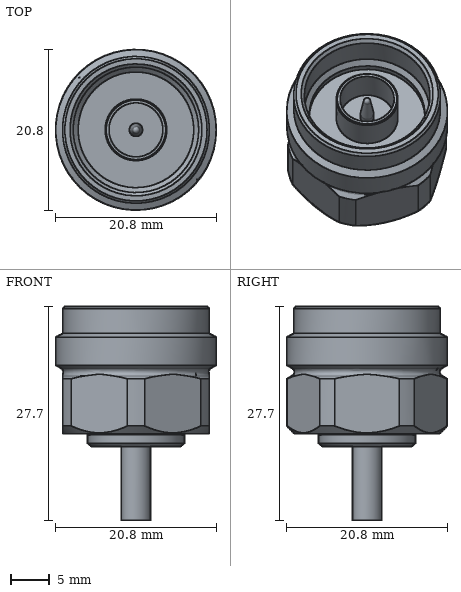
import cadquery as cq
import math


cable_radius = 1.9
collar_radius = 6.3
collar_bottom_z = 9.53
collar_top_z = 11.05
collar_chamfer_width = 0.55
collar_chamfer_height = 0.47
collar_neck_radius = 5.93

nut_bottom_z = 11.2
hex_across_flats = 19.0
hex_corner_radius = 10.4
hex_bottom_chamfer = 1.02

groove_floor_radius = 9.42
groove_arc_radius = 0.55
groove_center_z = 19.2
groove_wall_angle = math.radians(30)

flange_diameter = 20.8
flange_radius = flange_diameter / 2
flange_top_z = 23.7
sleeve_radius = hex_across_flats / 2
sleeve_base_z = 24.18
top_z = 27.7
sleeve_outer_chamfer = 0.3

bore_radius = 8.12
bore_entry_chamfer = 0.42
bore_bottom_z = 23.52
seat_radius = 7.48
floor_z = 22.05

post_radius = 4.0
post_bore_radius = 3.5
post_top_z = 26.48
post_chamfer = 0.15
pin_radius = 0.85
pin_tip_radius = 0.45
pin_taper_start_z = 23.07
pin_tip_center_z = 25.95


def revolve_profile(profile):
    """Turn a closed (radius, z) outline about the Z axis."""
    return profile.close().revolve(360, (0, 0, 0), (0, 1, 0))


def make_cable_and_collar():
    """Cable stub with the chamfered collar and the short neck below the nut."""
    profile = (
        cq.Workplane("XZ")
        .lineTo(cable_radius, 0)
        .lineTo(cable_radius, collar_bottom_z)
        .lineTo(collar_radius - collar_chamfer_width, collar_bottom_z)
        .lineTo(collar_radius, collar_bottom_z + collar_chamfer_height)
        .lineTo(collar_radius, collar_top_z)
        .lineTo(collar_neck_radius, collar_top_z)
        .lineTo(collar_neck_radius, nut_bottom_z)
        .lineTo(0, nut_bottom_z)
    )
    return revolve_profile(profile)


def make_nut():
    """Turned, solid nut body with its lower part trimmed to a hexagon."""
    slope = math.tan(groove_wall_angle)
    arc_end_radius = groove_floor_radius + groove_arc_radius * (1 - math.sin(groove_wall_angle))
    arc_half_height = groove_arc_radius * math.cos(groove_wall_angle)
    arc_bottom_z = groove_center_z - arc_half_height
    arc_top_z = groove_center_z + arc_half_height
    hex_top_z = arc_bottom_z - (hex_corner_radius - arc_end_radius) * slope
    flange_bottom_z = arc_top_z + (flange_radius - arc_end_radius) * slope

    profile = (
        cq.Workplane("XZ")
        .moveTo(0, nut_bottom_z)
        .lineTo(hex_corner_radius - hex_bottom_chamfer, nut_bottom_z)
        .lineTo(hex_corner_radius, nut_bottom_z + hex_bottom_chamfer)
        .lineTo(hex_corner_radius, hex_top_z)
        .lineTo(arc_end_radius, arc_bottom_z)
        .threePointArc((groove_floor_radius, groove_center_z), (arc_end_radius, arc_top_z))
        .lineTo(flange_radius, flange_bottom_z)
        .lineTo(flange_radius, flange_top_z)
        .lineTo(sleeve_radius, sleeve_base_z)
        .lineTo(sleeve_radius, top_z - sleeve_outer_chamfer)
        .lineTo(sleeve_radius - sleeve_outer_chamfer, top_z)
        .lineTo(0, top_z)
    )

    hex_across_corners = hex_across_flats / math.cos(math.pi / 6)
    hex_trim = (
        cq.Workplane("XY", origin=(0, 0, nut_bottom_z))
        .circle(hex_across_corners)
        .extrude(groove_center_z - nut_bottom_z)
        .cut(
            cq.Workplane("XY", origin=(0, 0, nut_bottom_z))
            .transformed(rotate=(0, 0, 30))
            .polygon(6, hex_across_corners)
            .extrude(groove_center_z - nut_bottom_z)
        )
    )
    return revolve_profile(profile).cut(hex_trim)


def make_bore():
    """Cavity of the front bore, with a sloped seat above the narrower floor recess."""
    seat_chamfer = bore_radius - seat_radius
    profile = (
        cq.Workplane("XZ")
        .moveTo(0, floor_z)
        .lineTo(seat_radius, floor_z)
        .lineTo(seat_radius, bore_bottom_z - seat_chamfer)
        .lineTo(bore_radius, bore_bottom_z)
        .lineTo(bore_radius, top_z - bore_entry_chamfer)
        .lineTo(bore_radius + bore_entry_chamfer, top_z)
        .lineTo(0, top_z)
    )
    return revolve_profile(profile)


def make_post():
    """Hollow post, rooted deep in the body so that the two overlap."""
    profile = (
        cq.Workplane("XZ")
        .moveTo(post_bore_radius, nut_bottom_z)
        .lineTo(post_radius, nut_bottom_z)
        .lineTo(post_radius, post_top_z - post_chamfer)
        .lineTo(post_radius - post_chamfer, post_top_z)
        .lineTo(post_bore_radius, post_top_z)
    )
    return revolve_profile(profile)


def make_pin():
    """Cylindrical pin that tapers to a hemispherical tip, rooted deep in the body."""
    tip_mid = pin_tip_radius * math.sqrt(0.5)
    profile = (
        cq.Workplane("XZ")
        .moveTo(0, nut_bottom_z)
        .lineTo(pin_radius, nut_bottom_z)
        .lineTo(pin_radius, pin_taper_start_z)
        .lineTo(pin_tip_radius, pin_tip_center_z)
        .threePointArc((tip_mid, pin_tip_center_z + tip_mid), (0, pin_tip_center_z + pin_tip_radius))
    )
    return revolve_profile(profile)


shell = make_nut().cut(make_bore())
result = shell.union(make_cable_and_collar()).union(make_post()).union(make_pin())